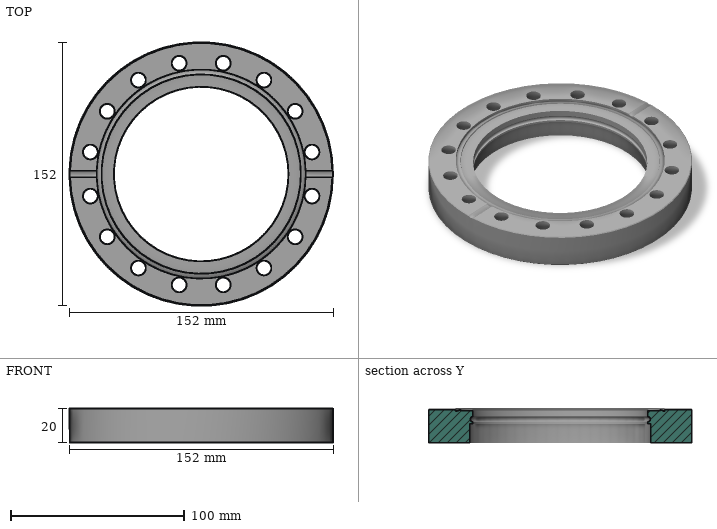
import cadquery as cq

outer_diameter = 152.0
thickness = 20.0
edge_chamfer = 0.5

recess_diameter = 120.5
knife_diameter = 115.0
knife_base_diameter = 114.8
recess_depth = 1.8
knife_depth = 0.6
floor_depth = 1.4

bore_diameter = 100.5
socket_diameter = 104.3
groove_depth = 4.9
groove_width = 3.0
weld_lip_height = 1.2

bolt_count = 16
bolt_circle_diameter = 130.3
bolt_hole_diameter = 8.4

leak_groove_width = 4.0
leak_groove_depth = 0.8


def flange_body():
    """Revolve the half section of the ring about Z."""
    outer_radius = outer_diameter / 2
    bore_radius = bore_diameter / 2
    socket_radius = socket_diameter / 2
    groove_top = thickness - groove_depth
    groove_bottom = groove_top - groove_width
    groove_middle = groove_top - groove_width / 2
    socket_top = groove_bottom - weld_lip_height
    section = (
        cq.Workplane("XZ")
        .moveTo(socket_radius, 0)
        .lineTo(outer_radius - edge_chamfer, 0)
        .lineTo(outer_radius, edge_chamfer)
        .lineTo(outer_radius, thickness - edge_chamfer)
        .lineTo(outer_radius - edge_chamfer, thickness)
        .lineTo(recess_diameter / 2, thickness)
        .lineTo(recess_diameter / 2, thickness - recess_depth)
        .lineTo(knife_diameter / 2, thickness - knife_depth)
        .lineTo(knife_base_diameter / 2, thickness - floor_depth)
        .lineTo(bore_radius, thickness - floor_depth)
        .lineTo(bore_radius, groove_top)
        .threePointArc((bore_radius + groove_width / 2, groove_middle), (bore_radius, groove_bottom))
        .lineTo(bore_radius, socket_top)
        .lineTo(socket_radius, socket_top)
        .close()
    )
    return section.revolve(360, (0, 0, 0), (0, 1, 0))


def bolt_holes():
    """Ring of through holes, straddling the X axis by half a pitch."""
    return (
        cq.Workplane("XY")
        .polarArray(bolt_circle_diameter / 2, 180 / bolt_count, 360, bolt_count)
        .circle(bolt_hole_diameter / 2)
        .extrude(thickness)
    )


def leak_grooves():
    """Round-bottomed channel along X; over the open centre it cuts nothing."""
    half_width = leak_groove_width / 2
    radius = (half_width**2 + leak_groove_depth**2) / (2 * leak_groove_depth)
    axis_height = thickness + radius - leak_groove_depth
    channel = (
        cq.Workplane("YZ")
        .center(0, axis_height)
        .circle(radius)
        .extrude(outer_diameter / 2, both=True)
    )
    centre = cq.Workplane("XY").circle(recess_diameter / 2).extrude(axis_height + radius)
    return channel.cut(centre)


result = flange_body().cut(bolt_holes()).cut(leak_grooves())